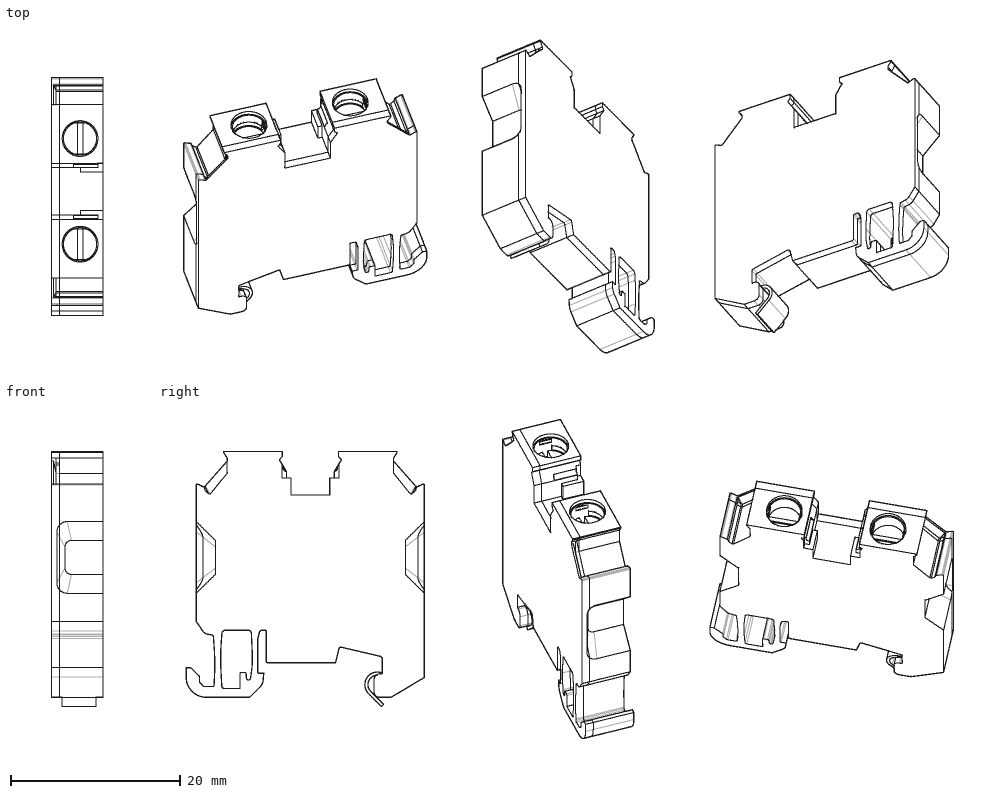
import cadquery as cq
import math


thickness = 6.1
cover_thickness = 0.95
total_height = 30.15
half_width = 13.47
hook_tip = -14.68
bottom = 1.1
overcut = 0.3

tower_outer = 10.25
tower_inner = 3.32
tower_wall = 9.83
lip_height = 0.15
neck_top = 29.33
neck_bottom = 29.0
inner_neck_y = 3.65
inner_neck_z = 29.15
inner_lip_bottom = 29.5
slot_half_width = 2.8
slot_floor = 25.0
slant_bottom = 27.73
valley_y = 12.55
valley_z = 25.92
valley_radius = 0.18
ridge_y = 13.25
shoulder_ridge = 26.28
ridge_radius = 0.1

leg_top = 9.0
outer_leg_bow = 31.65
inner_leg_bow = 27.13
window_bow = 12.05
hook_floor = 2.38
hook_top = 4.6
hook_radius = 2.4
claw_top = 3.95
seat_bottom = 5.15
seat_edge = -5.2
foot_inner = 7.5
foot_wall = 8.47
foot_top = 3.85
foot_radius = 0.65
edge_radius = 0.25
window_floor = 2.17
peg_side = -8.32
peg_top = 4.05
window_radius = 0.35
small_radius = 0.15

recess_rim = 0.25
recess_start = 0.55
recess_slope_top = 27.55
recess_foot_y = 11.8
recess_foot_z = 25.1
recess_floor_y = 12.0
recess_end_y = 12.42
recess_end_z = 25.5
rim_steps = (0.12, 0.1, 0.05)
cover_recess_wall = 9.1
cover_recess_slope_top = 28.5
cover_recess_top = 28.78

funnel_depth = 2.25
funnel_bottom = 13.38
funnel_top = 21.85
funnel_flare = 2.23
funnel_mouth_start = 0.63
funnel_mouth_radius = 1.25
funnel_floor_start = 1.6
funnel_floor_radius = 0.75

screw_x = 3.38
screw_y = 6.25
bore_mouth_radius = 2.1
bore_mouth_depth = 0.48
screw_radius = 1.95
screw_top_depth = 2.5
screw_length = 1.8
screw_slot_width = 0.65
screw_slot_depth = 0.9
tab_offset = 1.8
tab_top_depth = 0.7
tab_height = 0.48
relief_offset = 0.8
relief_height = 0.78

block_start = 3.45
block_face = 2.25
block_top = 27.0
groove_start = 2.6
groove_end = 5.5
groove_radius = 0.45
groove_y = 2.77
groove_z = 28.2
notch_wall = 3.38
notch_top = 28.7

clip_start = 1.25
clip_width = 4.05
clip_radius = 1.5
clip_strip = 0.4
clip_y = 7.93
clip_z = 2.6
clip_start_angle = 105.0
clip_leg_angle = -45.0


def rounded_outline(corners):
    """Closed wire on the YZ plane through (y, z, radius) corners, each rounded by its radius."""
    stretches = []
    for i, (y, z, radius) in enumerate(corners):
        corner = cq.Vector(y, z)
        if radius == 0:
            stretches.append([corner])
            continue
        before = (cq.Vector(*corners[i - 1][:2]) - corner).normalized()
        after = (cq.Vector(*corners[(i + 1) % len(corners)][:2]) - corner).normalized()
        half_angle = before.getAngle(after) / 2
        setback = radius / math.tan(half_angle)
        bulge = radius / math.sin(half_angle) - radius
        middle = corner + (before + after).normalized() * bulge
        stretches.append([corner + before * setback, middle, corner + after * setback])

    path = cq.Workplane("YZ").moveTo(*stretches[0][-1].toTuple()[:2])
    for stretch in stretches[1:] + stretches[:1]:
        points = [point.toTuple()[:2] for point in stretch]
        path = path.lineTo(*points[0])
        if len(points) == 3:
            path = path.threePointArc(points[1], points[2])
    return path.close()


def prism(points, start, end):
    """Straight-edged YZ outline extruded along X from start to end."""
    return cq.Workplane("YZ", origin=(start, 0, 0)).polyline(points).close().extrude(end - start)


def box(x_range, y_range, z_range):
    size = [high - low for low, high in (x_range, y_range, z_range)]
    corner = (x_range[0], y_range[0], z_range[0])
    return cq.Workplane("XY", origin=corner).box(*size, centered=False)


def on_both_sides(shape):
    """The shape given for the +Y side, joined with its mirror image on the -Y side."""
    return shape.add(shape.mirror("XZ")).combine()


def block_profile():
    """Outline of the whole block, starting at the +Y shoulder and going over the top."""
    tower = [
        (half_width, shoulder_ridge, ridge_radius),
        (ridge_y, shoulder_ridge, ridge_radius),
        (valley_y, valley_z, valley_radius),
        (tower_wall, neck_bottom, 0),
        (tower_wall, neck_top, 0),
        (tower_outer, total_height - lip_height, 0),
        (tower_outer, total_height, 0),
        (tower_inner, total_height, 0),
        (tower_inner, inner_lip_bottom, 0),
        (inner_neck_y, inner_neck_z, 0),
        (slot_half_width, slant_bottom, 0),
        (slot_half_width, slot_floor, 0),
    ]
    other_tower = [(-y, z, radius) for y, z, radius in reversed(tower)]
    hook_foot = [
        (-half_width, 10.05, 0),
        (-12.5, 8.62, 0.85),
        (-11.48, 8.4, small_radius),
        (-11.18, 5.4, outer_leg_bow),
        (-11.4, hook_floor, small_radius),
        (-12.6, hook_floor, edge_radius),
        (-13.08, 2.9, small_radius),
        (-13.08, 3.55, small_radius),
        (-14.15, hook_top, 0),
        (hook_tip, hook_top, 0),
        (hook_tip, bottom, hook_radius),
        (-7.17, bottom, 0),
        (-5.6, 2.65, hook_radius / 2),
        (-5.5, claw_top, 0),
        (-6.2, claw_top, small_radius),
        (-6.2, 8.0, 2.7),
        (-5.95, leg_top, window_radius),
        (seat_edge, leg_top, small_radius),
    ]
    rail_seat = [
        (seat_edge, seat_bottom, edge_radius),
        (2.98, seat_bottom, 0),
        (3.45, 7.05, edge_radius),
        (foot_wall, 5.88, edge_radius),
        (foot_wall, foot_top, 0),
    ]
    fixed_foot = [
        (foot_inner, foot_top, foot_radius),
        (foot_inner, bottom, foot_radius),
        (9.52, bottom, 0),
        (half_width, 3.45, 0),
    ]
    return rounded_outline(tower + other_tower + hook_foot + rail_seat + fixed_foot)


def foot_window():
    """Opening between the two springy legs of the hook foot."""
    outline = rounded_outline([
        (-7.0, leg_top, window_radius),
        (-10.4, leg_top, window_radius),
        (-10.65, 5.95, inner_leg_bow),
        (-10.43, window_floor, edge_radius),
        (peg_side, window_floor, 0),
        (peg_side, peg_top, small_radius),
        (-7.6, peg_top, small_radius),
        (-7.5, 3.15, small_radius),
        (-7.1, 3.15, small_radius),
        (-6.8, 4.97, window_bow),
    ])
    return outline.extrude(thickness)


def shoulder_recess():
    """Deeper step behind the rim of the +Y shoulder, with a sloping entry behind the rim."""
    outer_y = half_width + overcut
    deep = [
        (tower_wall, neck_top),
        (tower_wall, recess_slope_top),
        (recess_foot_y, recess_foot_z),
        (recess_floor_y, recess_foot_z),
        (recess_end_y, recess_end_z),
        (valley_y, valley_z),
        (outer_y, neck_top),
    ]
    shallow = [
        (tower_wall, neck_top),
        (tower_wall, neck_bottom),
        *[(valley_y - step, valley_z + step) for step in rim_steps],
        (valley_y, valley_z),
        (outer_y, neck_top),
    ]
    entry = (
        cq.Workplane("YZ", origin=(recess_rim, 0, 0)).polyline(shallow).close()
        .workplane(offset=recess_start - recess_rim).polyline(deep).close()
        .loft(ruled=True)
    )
    cover_corner = prism(
        [
            (tower_wall, neck_top),
            (cover_recess_wall, cover_recess_top),
            (cover_recess_wall, cover_recess_slope_top),
            (tower_wall, recess_slope_top),
        ],
        recess_start,
        cover_thickness,
    )
    return prism(deep, recess_start, thickness).union(entry).union(cover_corner)


def funnel_section(sketch, start, low, high, radius):
    """Section of the funnel on an XZ plane, rounded at its closed end."""
    end = thickness + overcut
    bend = radius * (1 - math.sqrt(0.5))
    return (
        sketch.moveTo(end, low)
        .lineTo(end, high)
        .lineTo(start + radius, high)
        .threePointArc((start + bend, high - bend), (start, high - radius))
        .lineTo(start, low + radius)
        .threePointArc((start + bend, low + bend), (start + radius, low))
        .close()
    )


def wire_funnel():
    """Tapered wire entry in the -Y face, open towards +X."""
    mouth = funnel_section(
        cq.Workplane("XZ", origin=(0, -half_width, 0)),
        funnel_mouth_start, funnel_bottom, funnel_top, funnel_mouth_radius,
    )
    both = funnel_section(
        mouth.workplane(offset=-funnel_depth),
        funnel_floor_start, funnel_bottom + funnel_flare, funnel_top - funnel_flare, funnel_floor_radius,
    )
    return both.loft(ruled=True)


def cylinder_down(radius, top_depth, length):
    """Vertical cylinder on the +Y screw axis, its top at a depth below the tower top."""
    top = total_height - top_depth
    return cq.Workplane("XY", origin=(screw_x, screw_y, top)).circle(radius).extrude(-length)


def screw_relief():
    """Wider stretch of the bore just above the screw, on its +X side only."""
    screw_top = total_height - screw_top_depth
    relief_top = screw_top + relief_height
    side = box(
        (screw_x + relief_offset, thickness),
        (screw_y - bore_mouth_radius, screw_y + bore_mouth_radius),
        (screw_top, relief_top),
    )
    return cylinder_down(bore_mouth_radius, total_height - relief_top, relief_height).intersect(side)


def screw_bore():
    """Stepped blind bore that ends under the screw, with two flat retaining tabs left in its wall."""
    bore = cylinder_down(screw_radius, 0, screw_top_depth + screw_length)
    tab_top = total_height - tab_top_depth
    tabs = cylinder_down(screw_radius, tab_top_depth, tab_height)
    tabs = tabs.cut(box(
        (screw_x - screw_radius, screw_x + screw_radius),
        (screw_y - tab_offset, screw_y + tab_offset),
        (tab_top - tab_height, tab_top),
    ))
    mouth = cylinder_down(bore_mouth_radius, 0, bore_mouth_depth)
    return bore.cut(tabs).union(mouth).union(screw_relief())


def stop_block():
    return box((block_start, thickness), (block_face, slot_half_width), (slot_floor, block_top))


def marker_groove():
    length = groove_end - groove_start
    return cq.Workplane("YZ", origin=(groove_start, groove_y, groove_z)).circle(groove_radius).extrude(length)


def end_notch():
    return box((groove_end, thickness), (slot_half_width, notch_wall), (block_top, notch_top))


def make_clip():
    """Bent strip: an arc that hugs the fixed foot, then a straight leg down to Z = 0."""
    inner_radius = clip_radius - clip_strip
    leg_turn = math.radians(clip_leg_angle)
    leg_length = clip_z / math.sin(-leg_turn) - clip_radius

    def on_arc(radius, angle):
        """Point of the arc; the angle is measured upwards from the -Y direction."""
        turn = math.radians(angle)
        return (clip_y - radius * math.cos(turn), clip_z + radius * math.sin(turn))

    def leg_end(radius):
        y, z = on_arc(radius, clip_leg_angle)
        return (y - leg_length * math.sin(leg_turn), z - leg_length * math.cos(leg_turn))

    middle_angle = (clip_start_angle + clip_leg_angle) / 2
    return (
        cq.Workplane("YZ", origin=(clip_start, 0, 0))
        .moveTo(*on_arc(clip_radius, clip_start_angle))
        .threePointArc(on_arc(clip_radius, middle_angle), on_arc(clip_radius, clip_leg_angle))
        .lineTo(*leg_end(clip_radius))
        .lineTo(*leg_end(inner_radius))
        .lineTo(*on_arc(inner_radius, clip_leg_angle))
        .threePointArc(on_arc(inner_radius, middle_angle), on_arc(inner_radius, clip_start_angle))
        .close()
        .extrude(clip_width)
    )


def make_screw(side):
    """Slotted screw head at the bottom of the bore; side is 1 for +Y and -1 for -Y."""
    top = total_height - screw_top_depth
    slot = box(
        (screw_x - screw_slot_width / 2, screw_x + screw_slot_width / 2),
        (screw_y - screw_radius, screw_y + screw_radius),
        (top - screw_slot_depth, top),
    )
    screw = cylinder_down(screw_radius, screw_top_depth, screw_length).cut(slot)
    return screw.translate((0, (side - 1) * screw_y, 0))


def make_block():
    """Cover and housing together, before they are parted."""
    return (
        block_profile().extrude(thickness)
        .cut(foot_window())
        .cut(on_both_sides(shoulder_recess()))
        .cut(on_both_sides(wire_funnel()))
        .cut(on_both_sides(screw_bore()))
        .cut(on_both_sides(marker_groove()))
        .cut(on_both_sides(end_notch()))
        .union(on_both_sides(stop_block()))
    )


clip = make_clip()
screws = [make_screw(side) for side in (1, -1)]
block = make_block().cut(clip)
cover_space = box((0, cover_thickness), (hook_tip, half_width), (0, total_height))
cover = block.intersect(cover_space)
housing = block.cut(cover_space)

result = cq.Compound.makeCompound([
    cover.val(),
    housing.val(),
    *[screw.val() for screw in screws],
    clip.val(),
])